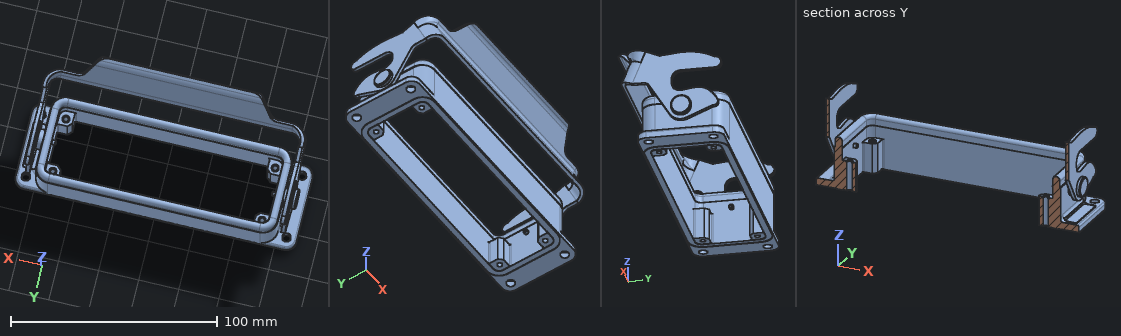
import cadquery as cq
import math

FLANGE_LENGTH = 140.0
BASE_WIDTH = 42.8
FLANGE_BOTTOM = 0.25
FLANGE_TOP = 4.25
FLANGE_CORNER = 5.0
FLANGE_EDGE = 0.9
MOUNT_HOLE = 4.3
MOUNT_X = 65.0
MOUNT_Y = 16.0

BODY_LENGTH = 120.6
BODY_TOP = 22.4
BODY_CORNER = 7.3
CAVITY_LENGTH = 111.6
CAVITY_WIDTH = 35.0
CAVITY_CORNER = 3.4
FOOT_LENGTH = 118.0
FOOT_WIDTH = 41.8

RAMP = 3.3
RAMP_END_SIZE = 0.05
RAMP_TOP_WIDTH = 23.0
RAMP_FOOT_WIDTH = 29.0

LABEL_DEPTH = 0.3
LABEL_INNER_X = 61.2
LABEL_OUTER_X = 67.8
LABEL_WIDTH = 23.2
LABEL_CORNER = 1.0

SEAL_LENGTH = 119.8
SEAL_WIDTH = 43.2
SEAL_TOP = 27.9
SEAL_THICKNESS = 4.0

BOSS_INNER_X = 48.6
BOSS_INNER_Y = 10.1
BOSS_TOP = 16.0
BOSS_CHAMFER = 2.0
BOSS_BLEND = 0.6
SCREW_X = 52.2
SCREW_Y = 13.5
SCREW_HOLE = 2.5
SCREW_RECESS = 3.6
SCREW_RECESS_DEPTH = 0.5

STUD_DIAMETER = 2.2
STUD_END_X = 53.9
STUD_CHAMFER = 0.4

PIN_DIAMETER = 10.0
PIN_Z = 18.35
PIN_END_X = 66.6
PIN_CHAMFER = 0.5

SHEET = 2.0
LEVER_OUTER_X = 64.75
TILT = 22.5
CORNER_BEND = 7.0
HUB_RADIUS = 7.0
BAND_OUT = 42.0
BAND_BOTTOM = 20.5
BEND_START = 32.2
FLARE_BEND = 60.0
FLARE_RADIUS = 3.0
LIP_BOTTOM = 40.61
LIP_OUT = 56.40
LIP_RADIUS = 4.0
ARM_TOP = 38.4
CORNER_TURN = 90.0
CORNER_STEPS = 5
FADED_BEND = 3.0
FADE_POWER = 1.5
SHORT_FLARE = 2.0
HANDLE_FOOT_X = 47.4
HANDLE_SLOPE = 60.0
HANDLE_FOOT_ROUND = 5.0
HANDLE_TIP_ROUND = 7.0

CORNER_X = LEVER_OUTER_X - CORNER_BEND
CORNER_OUT = BAND_OUT - CORNER_BEND
SIN_TILT = math.sin(math.radians(TILT))
COS_TILT = math.cos(math.radians(TILT))
INNER_BEND_OUT = BAND_OUT + FLARE_RADIUS - (FLARE_RADIUS + SHEET) * math.cos(math.radians(FLARE_BEND))
INNER_BEND_RISE = BEND_START + (FLARE_RADIUS + SHEET) * math.sin(math.radians(FLARE_BEND))
SHORT_EDGE_RISE = INNER_BEND_RISE + SHORT_FLARE * math.cos(math.radians(FLARE_BEND))
SIDES = (-1, 1)


def rounded_block(length, width, corner, bottom, top):
    block = cq.Workplane("XY", origin=(0, 0, bottom)).rect(length, width).extrude(top - bottom)
    return block.edges("|Z").fillet(corner)


def make_flange():
    flange = rounded_block(FLANGE_LENGTH, BASE_WIDTH, FLANGE_CORNER, FLANGE_BOTTOM, FLANGE_TOP)
    flange = flange.faces(">Z").edges().fillet(FLANGE_EDGE)
    holes = [(sx * MOUNT_X, sy * MOUNT_Y) for sx in SIDES for sy in SIDES]
    cutters = cq.Workplane("XY").pushPoints(holes).circle(MOUNT_HOLE / 2).extrude(FLANGE_TOP)
    return flange.cut(cutters)


def make_label_recess():
    """Cutter for the label recess, which also trims the ramp behind it."""
    middle_x = (LABEL_INNER_X + LABEL_OUTER_X) / 2
    recess = (
        cq.Workplane("XY", origin=(middle_x, 0, FLANGE_TOP - LABEL_DEPTH))
        .rect(LABEL_OUTER_X - LABEL_INNER_X, LABEL_WIDTH)
        .extrude(LABEL_DEPTH + RAMP)
    )
    return recess.edges("|Z").fillet(LABEL_CORNER)


def ramp_section(y, size):
    """Concave section of the ramp at `y`, with legs of `size` along the wall and the flange."""
    wall_x = BODY_LENGTH / 2
    arc = size * (1 - math.sqrt(0.5))
    return (
        cq.Workplane("XZ", origin=(0, y, 0))
        .moveTo(wall_x, FLANGE_TOP + size)
        .threePointArc((wall_x + arc, FLANGE_TOP + arc), (wall_x + size, FLANGE_TOP))
        .lineTo(wall_x, FLANGE_TOP)
        .close()
    )


def make_ramp():
    """Concave ramp at the +X end wall, tapering off to a point at both ends."""
    half_top = RAMP_TOP_WIDTH / 2
    half_foot = RAMP_FOOT_WIDTH / 2
    ramp = ramp_section(half_top, RAMP).extrude(RAMP_TOP_WIDTH)
    full = ramp_section(half_top, RAMP).val()
    end = ramp_section(half_foot, RAMP_END_SIZE).val()
    taper = cq.Workplane(cq.Solid.makeLoft([full, end], True))
    return ramp.union(taper).union(taper.mirror("XZ"))


def make_seal():
    """Closed ring with a half-round top, standing on the body rim."""
    half = SEAL_THICKNESS / 2
    run_x = SEAL_LENGTH / 2 - BODY_CORNER
    line_y = SEAL_WIDTH / 2 - half
    line_x = SEAL_LENGTH / 2 - half
    run_y = SEAL_WIDTH / 2 - BODY_CORNER
    path = (
        cq.Workplane("XY", origin=(0, 0, BODY_TOP))
        .moveTo(0, line_y)
        .lineTo(run_x, line_y)
        .tangentArcPoint((line_x, run_y), relative=False)
        .lineTo(line_x, -run_y)
        .tangentArcPoint((run_x, -line_y), relative=False)
        .lineTo(-run_x, -line_y)
        .tangentArcPoint((-line_x, -run_y), relative=False)
        .lineTo(-line_x, run_y)
        .tangentArcPoint((-run_x, line_y), relative=False)
        .close()
    )
    return (
        cq.Workplane("YZ")
        .moveTo(line_y - half, BODY_TOP)
        .lineTo(line_y - half, SEAL_TOP - half)
        .threePointArc((line_y, SEAL_TOP), (line_y + half, SEAL_TOP - half))
        .lineTo(line_y + half, BODY_TOP)
        .close()
        .sweep(path)
    )


def make_boss():
    """Screw boss in the +X +Y corner of the cavity, blended into both walls."""
    wall_x = CAVITY_LENGTH / 2
    wall_y = CAVITY_WIDTH / 2
    overlap = 1.0
    blend_mid = BOSS_BLEND * (1 - math.sqrt(0.5))
    boss = (
        cq.Workplane("XY", origin=(0, 0, FLANGE_BOTTOM))
        .moveTo(wall_x + overlap, wall_y + overlap)
        .lineTo(BOSS_INNER_X - BOSS_BLEND, wall_y + overlap)
        .lineTo(BOSS_INNER_X - BOSS_BLEND, wall_y)
        .threePointArc((BOSS_INNER_X - blend_mid, wall_y - blend_mid), (BOSS_INNER_X, wall_y - BOSS_BLEND))
        .lineTo(BOSS_INNER_X, BOSS_INNER_Y + BOSS_CHAMFER)
        .lineTo(BOSS_INNER_X + BOSS_CHAMFER, BOSS_INNER_Y)
        .lineTo(wall_x - BOSS_BLEND, BOSS_INNER_Y)
        .threePointArc((wall_x - blend_mid, BOSS_INNER_Y - blend_mid), (wall_x, BOSS_INNER_Y - BOSS_BLEND))
        .lineTo(wall_x + overlap, BOSS_INNER_Y - BOSS_BLEND)
        .close()
        .extrude(BOSS_TOP - FLANGE_BOTTOM)
    )
    top = boss.faces(">Z").workplane(origin=(SCREW_X, SCREW_Y, BOSS_TOP))
    return top.cboreHole(SCREW_HOLE, SCREW_RECESS, SCREW_RECESS_DEPTH)


def make_pin():
    """Pivot pin on the outside of the +X end wall."""
    start_x = (CAVITY_LENGTH + BODY_LENGTH) / 4
    pin = cq.Workplane("YZ", origin=(start_x, 0, PIN_Z)).circle(PIN_DIAMETER / 2)
    return pin.extrude(PIN_END_X - start_x).faces(">X").chamfer(PIN_CHAMFER)


def make_stud():
    """Stud on the inside of the +X end wall."""
    start_x = (CAVITY_LENGTH + BODY_LENGTH) / 4
    stud = cq.Workplane("YZ", origin=(STUD_END_X, 0, PIN_Z)).circle(STUD_DIAMETER / 2)
    return stud.extrude(start_x - STUD_END_X).faces("<X").chamfer(STUD_CHAMFER)


def mirrored(part, plane="YZ"):
    return part.union(part.mirror(plane))


def make_base():
    base = make_flange()
    base = base.union(rounded_block(BODY_LENGTH, BASE_WIDTH, BODY_CORNER, FLANGE_BOTTOM, BODY_TOP))
    base = base.union(rounded_block(FOOT_LENGTH, FOOT_WIDTH, BODY_CORNER, 0, FLANGE_TOP))
    base = base.cut(rounded_block(CAVITY_LENGTH, CAVITY_WIDTH, CAVITY_CORNER, 0, BODY_TOP))
    base = base.union(mirrored(make_ramp())).cut(make_label_recess()).union(make_seal())
    base = base.union(mirrored(make_pin())).union(mirrored(make_stud()))
    return base.union(mirrored(mirrored(make_boss()), "XZ"))


def tilted(out, rise):
    """(y, z) of a point given in the lever's tilted frame."""
    return (-out * COS_TILT + rise * SIN_TILT, out * SIN_TILT + rise * COS_TILT)


def make_arm():
    """Flat side plate at +X: two fingers around a slot, the pivot hub and the web to the band."""
    slot_x = -4.95
    slot_top = 37.4
    slot_bottom = 26.6
    slot_corner = 4.65
    corner_mid = slot_corner * math.sqrt(0.5)
    slot_start = slot_x + slot_corner
    web_bottom = 32.15
    web_corner = (-16.95, web_bottom)
    web_round = 3.2

    distance = math.hypot(web_corner[0], web_corner[1] - PIN_Z)
    heading = math.atan2(web_corner[1] - PIN_Z, web_corner[0]) + math.acos(HUB_RADIUS / distance)
    hub_rear = (HUB_RADIUS * math.cos(heading), PIN_Z + HUB_RADIUS * math.sin(heading))
    hub_front = (HUB_RADIUS * SIN_TILT, PIN_Z - HUB_RADIUS * COS_TILT)
    middle = -math.pi / 2
    hub_middle = (HUB_RADIUS * math.cos(middle), PIN_Z + HUB_RADIUS * math.sin(middle))
    finger_run = 13.9
    lower_finger = (hub_front[0] + finger_run * COS_TILT, hub_front[1] + finger_run * SIN_TILT)

    arm = (
        cq.Workplane("YZ", origin=(LEVER_OUTER_X - SHEET, 0, 0))
        .moveTo(*tilted(CORNER_OUT, BAND_BOTTOM))
        .lineTo(*tilted(CORNER_OUT, ARM_TOP))
        .lineTo(-10.8, 45.95)
        .threePointArc((-9.8, 46.1), (-8.6, 46.15))
        .spline([(1.6, 46.9), (9.5, 45.9), (16.4, 43.1)], includeCurrent=True)
        .threePointArc((19.6, 40.0), (17.4, slot_top))
        .lineTo(slot_start, slot_top)
        .threePointArc((slot_start - corner_mid, slot_top - slot_corner + corner_mid),
                       (slot_x, slot_top - slot_corner))
        .lineTo(slot_x, slot_bottom + slot_corner)
        .threePointArc((slot_start - corner_mid, slot_bottom + slot_corner - corner_mid),
                       (slot_start, slot_bottom))
        .spline([(4.5, 27.3), (10.5, 27.2), (15.4, 24.0), (18.0, 20.2)], includeCurrent=True)
        .threePointArc((18.0, 18.6), lower_finger)
        .lineTo(*hub_front)
        .threePointArc(hub_middle, hub_rear)
        .lineTo(*web_corner)
        .close()
        .extrude(SHEET)
    )
    nearest = cq.selectors.NearestToPointSelector((LEVER_OUTER_X - SHEET / 2, *web_corner))
    return arm.edges(nearest).fillet(web_round)


def tilted_plane(x, turn):
    """Plane of (out, rise) through the corner bend axis, turned by `turn` degrees about that axis."""
    angle = math.radians(turn)
    out_y, out_z = tilted(1, 0)
    origin = (x, *tilted(CORNER_OUT, 0))
    direction = (math.sin(angle), math.cos(angle) * out_y, math.cos(angle) * out_z)
    rise = (0, *tilted(0, 1))
    normal = cq.Vector(*direction).cross(cq.Vector(*rise))
    return cq.Plane(origin=origin, xDir=direction, normal=normal)


def sheet_profile(plane, bend, edge_rise):
    """Upper edge of the sheet, bent outward by `bend` degrees and cut square at height `edge_rise`."""
    def on_bend(radius, angle):
        turn = math.radians(angle)
        return (CORNER_BEND + FLARE_RADIUS - radius * math.cos(turn), BEND_START + radius * math.sin(turn))

    inner_radius = FLARE_RADIUS + SHEET
    sin_bend = math.sin(math.radians(bend))
    cos_bend = math.cos(math.radians(bend))
    inner_end = on_bend(inner_radius, bend)
    outer_end = on_bend(FLARE_RADIUS, bend)
    run = (edge_rise - inner_end[1]) / cos_bend
    return (
        cq.Workplane(plane)
        .moveTo(*on_bend(inner_radius, 0))
        .threePointArc(on_bend(inner_radius, bend / 2), inner_end)
        .lineTo(inner_end[0] + run * sin_bend, edge_rise)
        .lineTo(outer_end[0] + run * sin_bend, outer_end[1] + run * cos_bend)
        .lineTo(*outer_end)
        .threePointArc(on_bend(FLARE_RADIUS, bend / 2), on_bend(FLARE_RADIUS, 0))
        .close()
    )


def make_corner():
    """Rounded +X corner: the flare fades out between the front band and the side plate."""
    band = (
        cq.Workplane(tilted_plane(CORNER_X, 0))
        .moveTo(CORNER_BEND - SHEET, BAND_BOTTOM)
        .rect(SHEET, BEND_START - BAND_BOTTOM, centered=False)
        .revolve(CORNER_TURN, (0, 0), (0, 1))
    )
    sections = []
    for step in range(CORNER_STEPS + 1):
        share = step / CORNER_STEPS
        plane = tilted_plane(CORNER_X, share * CORNER_TURN)
        bend = FADED_BEND + (FLARE_BEND - FADED_BEND) * (1 - share) ** FADE_POWER
        edge_rise = SHORT_EDGE_RISE + share * (ARM_TOP - SHORT_EDGE_RISE)
        sections.append(sheet_profile(plane, bend, edge_rise).val())
    return band.union(cq.Workplane(cq.Solid.makeLoft(sections)))


def make_handle_outline():
    """Block that trims the front sheet to its outline: full width low down, a trapezoid on the flare."""
    flare_axis = math.radians(90 - FLARE_BEND)
    corner = tilted(INNER_BEND_OUT, INNER_BEND_RISE)
    normal_y, normal_z = tilted(-math.sin(flare_axis), math.cos(flare_axis))
    below = -2 * BAND_OUT
    beyond = (LIP_OUT - INNER_BEND_OUT) * math.cos(flare_axis)
    beyond += (LIP_BOTTOM + SHEET - INNER_BEND_RISE) * math.sin(flare_axis)
    tip_x = HANDLE_FOOT_X - (beyond - SHORT_FLARE) / math.tan(math.radians(HANDLE_SLOPE))
    plane = cq.Plane(origin=(0, *corner), xDir=(-1, 0, 0), normal=(0, normal_y, normal_z))
    block = (
        cq.Workplane(plane)
        .polyline([
            (-CORNER_X, below),
            (-CORNER_X, SHORT_FLARE),
            (-HANDLE_FOOT_X, SHORT_FLARE),
            (-tip_x, beyond),
            (tip_x, beyond),
            (HANDLE_FOOT_X, SHORT_FLARE),
            (CORNER_X, SHORT_FLARE),
            (CORNER_X, below),
        ])
        .close()
        .extrude(BAND_OUT, both=True)
    )
    for side in SIDES:
        foot = plane.toWorldCoords((side * HANDLE_FOOT_X, SHORT_FLARE, 0))
        tip = plane.toWorldCoords((side * tip_x, beyond, 0))
        block = block.edges(cq.selectors.NearestToPointSelector(foot.toTuple())).fillet(HANDLE_FOOT_ROUND)
        block = block.edges(cq.selectors.NearestToPointSelector(tip.toTuple())).fillet(HANDLE_TIP_ROUND)
    return block


def make_front():
    """Front band with the flared handle and its flat lip."""
    tangent = math.tan(math.radians(FLARE_BEND / 2))
    slope = math.tan(math.radians(FLARE_BEND))
    outer_band = BAND_OUT
    inner_band = BAND_OUT - SHEET
    outer_foot = BEND_START + FLARE_RADIUS * tangent
    inner_foot = BEND_START + (FLARE_RADIUS + SHEET) * tangent
    lip_top = LIP_BOTTOM + SHEET
    outer_knee = outer_band + (LIP_BOTTOM - outer_foot) * slope
    inner_knee = inner_band + (lip_top - inner_foot) * slope
    sheet = (
        cq.Workplane("YZ", origin=(-CORNER_X, 0, 0))
        .polyline([
            tilted(outer_band, BAND_BOTTOM),
            tilted(outer_band, outer_foot),
            tilted(outer_knee, LIP_BOTTOM),
            tilted(LIP_OUT, LIP_BOTTOM),
            tilted(LIP_OUT, lip_top),
            tilted(inner_knee, lip_top),
            tilted(inner_band, inner_foot),
            tilted(inner_band, BAND_BOTTOM),
        ])
        .close()
        .extrude(2 * CORNER_X)
    )
    bends = [
        (outer_band, outer_foot, FLARE_RADIUS),
        (inner_band, inner_foot, FLARE_RADIUS + SHEET),
        (outer_knee, LIP_BOTTOM, LIP_RADIUS),
        (inner_knee, lip_top, LIP_RADIUS + SHEET),
    ]
    for out, rise, radius in bends:
        nearest = cq.selectors.NearestToPointSelector((0, *tilted(out, rise)))
        sheet = sheet.edges(nearest).fillet(radius)
    return sheet.intersect(make_handle_outline())


lever = make_front().union(mirrored(make_arm())).union(mirrored(make_corner()))
result = make_base().union(lever)